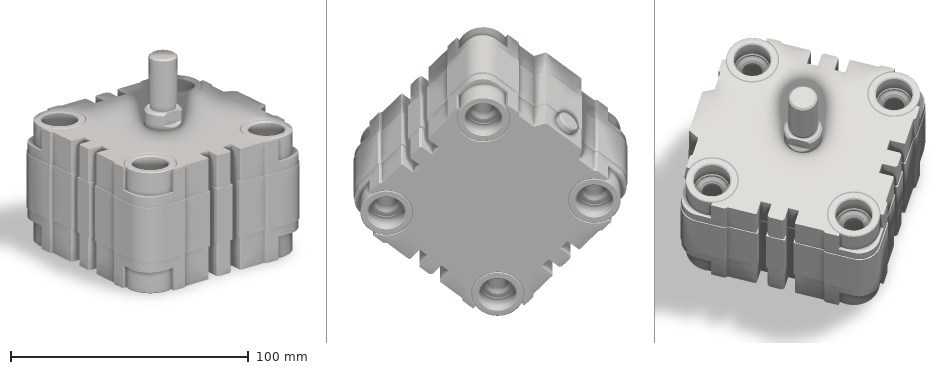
import cadquery as cq

HOUSING_HEIGHT = 55.0
CAP_HEIGHT = 15.0
BARREL_HEIGHT = HOUSING_HEIGHT - 2 * CAP_HEIGHT
BARREL_HALF_WIDTH = 43.5
CAP_INSET = 0.33
CORNER_RADIUS = 8.9
CUTTER_OVERRUN = 0.9

RELIEF_DEPTH = 0.9
RELIEF_HALF_WIDTH = 21.0
RELIEF_SLOPE_WIDTH = 1.0

RIDGE_RISE = 3.8
RIDGE_TOP_HALF_WIDTH = 10.0
RIDGE_FOOT_HALF_WIDTH = 12.6

SLOT_OFFSET = 6.0
CAP_SLOT_FLOOR = 35.6
BARREL_SLOT_FLOOR = 35.9
CAP_SLOT_WIDTH = 4.7
BARREL_SLOT_WIDTH = 4.5
SLOT_MOUTH_WIDTH = 3.7
SLOT_LIP_THICKNESS = 2.3
TONGUE_CHAMFER = 0.8
CAP_SLOT_EDGE_CHAMFER = 0.4
BARREL_SLOT_EDGE_CHAMFER = 0.3

HOLE_OFFSET = 31.0
BOSS_DIAMETER = 22.0
GROOVE_DEPTH = 0.33
POCKET_EDGE = 27.9
POCKET_DEPTH = 10.4
BORE_DIAMETER = 15.4
BORE_MOUTH_DIAMETER = 16.45
BORE_DEPTH = 7.5
SEAT_DIAMETER = 14.0
SEAT_DEPTH = 8.5
HOLE_DIAMETER = 8.4
HOLE_MOUTH_DIAMETER = 10.4

PLUG_DIAMETER = 9.8
PLUG_END_Y = 50.5
PLUG_HEIGHT = 8.0
PLUG_CHAMFER_LENGTH = 0.7
PLUG_CHAMFER_DEPTH = 0.4

TOTAL_HEIGHT = 86.5
COLLAR_DIAMETER = 16.0
COLLAR_TOP_DIAMETER = 14.0
COLLAR_HEIGHT = 7.6
NECK_DIAMETER = 10.8
NECK_HEIGHT = 2.1
THREAD_DIAMETER = 12.0
THREAD_END_DIAMETER = 10.4
FLAT_HALF_WIDTH = 6.5
FLAT_BOTTOM = 2.3
RUNOUT_BOTTOM = 1.0


def side_turns(angles, shape):
    """Copies of a shape made for the -Y side, turned to other sides."""
    copies = cq.Workplane("XY")
    for angle in angles:
        copies = copies.add(shape.rotate((0, 0, 0), (0, 0, 1), angle))
    return copies.combine()


def relief_cutter(half_width, height):
    floor = half_width - RELIEF_DEPTH
    slope = RELIEF_SLOPE_WIDTH / RELIEF_DEPTH
    outside = half_width + CUTTER_OVERRUN
    mouth = RELIEF_HALF_WIDTH + slope * (outside - floor)
    return (
        cq.Workplane("XY")
        .polyline([
            (-mouth, -outside),
            (-RELIEF_HALF_WIDTH, -floor),
            (RELIEF_HALF_WIDTH, -floor),
            (mouth, -outside),
        ])
        .close()
        .extrude(height)
    )


def port_ridge(half_width, height):
    foot = half_width - RELIEF_DEPTH
    top = half_width + RIDGE_RISE
    return (
        cq.Workplane("XY")
        .polyline([
            (-RIDGE_FOOT_HALF_WIDTH, foot),
            (-RIDGE_TOP_HALF_WIDTH, top),
            (RIDGE_TOP_HALF_WIDTH, top),
            (RIDGE_FOOT_HALF_WIDTH, foot),
            (RIDGE_FOOT_HALF_WIDTH, 0),
            (-RIDGE_FOOT_HALF_WIDTH, 0),
        ])
        .close()
        .extrude(height)
    )


def slot_pair(width, inner, outer, height):
    """Cutter for two parallel slots on the -Y side, between two distances from the axis."""
    return (
        cq.Workplane("XY")
        .pushPoints([(x, -(inner + outer) / 2) for x in (-SLOT_OFFSET, SLOT_OFFSET)])
        .rect(width, outer - inner)
        .extrude(height)
    )


def slot_edge_chamfers(width, face, tongue_chamfer, outer_chamfer, height):
    """Cutters for the four outer edges of a slot pair on the -Y side."""
    tongue_edge = SLOT_OFFSET - width / 2
    outer_edge = SLOT_OFFSET + width / 2
    cutters = cq.Workplane("XY")
    for side in (-1, 1):
        for edge, chamfer, direction in (
            (tongue_edge, tongue_chamfer, -1),
            (outer_edge, outer_chamfer, 1),
        ):
            corner = (
                cq.Workplane("XY")
                .polyline([
                    (side * edge, -face),
                    (side * (edge + direction * chamfer), -face),
                    (side * edge, -(face - chamfer)),
                ])
                .close()
                .extrude(height)
            )
            cutters = cutters.add(corner)
    return cutters.combine()


def relieved_block(half_width, height):
    block = (
        cq.Workplane("XY")
        .rect(2 * half_width, 2 * half_width)
        .extrude(height)
        .edges("|Z")
        .fillet(CORNER_RADIUS)
    )
    block = block.cut(side_turns((0, 90, 180, 270), relief_cutter(half_width, height)))
    return block.union(port_ridge(half_width, height))


def make_barrel():
    face = BARREL_HALF_WIDTH - RELIEF_DEPTH
    lip = face - SLOT_LIP_THICKNESS
    inner = slot_pair(BARREL_SLOT_WIDTH, BARREL_SLOT_FLOOR, lip, BARREL_HEIGHT)
    mouth = slot_pair(SLOT_MOUTH_WIDTH, BARREL_SLOT_FLOOR, face + CUTTER_OVERRUN, BARREL_HEIGHT)
    chamfer = BARREL_SLOT_EDGE_CHAMFER
    edges = slot_edge_chamfers(SLOT_MOUTH_WIDTH, face, chamfer, chamfer, BARREL_HEIGHT)
    slots = inner.union(mouth).union(edges)
    barrel = relieved_block(BARREL_HALF_WIDTH, BARREL_HEIGHT)
    return barrel.cut(side_turns((0, 90, 270), slots))


def corner_pocket():
    """Cutter that opens one cap corner around its boss and grooves the boss edge."""
    size = BARREL_HALF_WIDTH - POCKET_EDGE + CUTTER_OVERRUN
    middle = POCKET_EDGE + size / 2
    base = CAP_HEIGHT - POCKET_DEPTH
    radius = BOSS_DIAMETER / 2
    corner = (
        cq.Workplane("XY", origin=(middle, middle, base)).rect(size, size).extrude(POCKET_DEPTH)
    )
    boss = (
        cq.Workplane("XY", origin=(HOLE_OFFSET, HOLE_OFFSET, base))
        .circle(radius)
        .extrude(POCKET_DEPTH)
    )
    groove = (
        cq.Workplane("XZ")
        .polyline([
            (radius - GROOVE_DEPTH, CAP_HEIGHT),
            (radius, CAP_HEIGHT - GROOVE_DEPTH),
            (radius + GROOVE_DEPTH, CAP_HEIGHT),
        ])
        .close()
        .revolve(360, (0, 0), (0, 1))
        .translate((HOLE_OFFSET, HOLE_OFFSET, 0))
    )
    return corner.cut(boss).union(groove)


def mounting_bore():
    """Cutter for one stepped bore, from the boss end down to the barrel."""
    top = CAP_HEIGHT
    bore = BORE_DIAMETER / 2
    mouth = BORE_MOUTH_DIAMETER / 2
    seat = SEAT_DIAMETER / 2
    hole = HOLE_DIAMETER / 2
    hole_mouth = HOLE_MOUTH_DIAMETER / 2
    seat_level = top - SEAT_DEPTH
    return (
        cq.Workplane("XZ")
        .polyline([
            (0, 0),
            (hole, 0),
            (hole, seat_level - (hole_mouth - hole)),
            (hole_mouth, seat_level),
            (seat, seat_level),
            (seat, top - BORE_DEPTH),
            (bore, top - BORE_DEPTH),
            (bore, top - (mouth - bore)),
            (mouth, top),
            (0, top),
        ])
        .close()
        .revolve(360, (0, 0), (0, 1))
        .translate((HOLE_OFFSET, HOLE_OFFSET, 0))
    )


def make_cap():
    """End cap resting on Z = 0 with its outer end facing up."""
    half_width = BARREL_HALF_WIDTH - CAP_INSET
    face = half_width - RELIEF_DEPTH
    slots = slot_pair(CAP_SLOT_WIDTH, CAP_SLOT_FLOOR, face + CUTTER_OVERRUN, CAP_HEIGHT)
    edges = slot_edge_chamfers(
        CAP_SLOT_WIDTH, face, TONGUE_CHAMFER, CAP_SLOT_EDGE_CHAMFER, CAP_HEIGHT
    )
    slots = slots.union(edges)
    cap = relieved_block(half_width, CAP_HEIGHT)
    cap = cap.cut(side_turns((0, 90, 270), slots))
    cap = cap.cut(side_turns((0, 90, 180, 270), corner_pocket()))
    return cap.cut(side_turns((0, 90, 180, 270), mounting_bore()))


def make_plug():
    start = BARREL_HALF_WIDTH - CAP_INSET
    end = PLUG_END_Y - PLUG_CHAMFER_LENGTH
    radius = PLUG_DIAMETER / 2
    return (
        cq.Workplane("XY")
        .polyline([
            (0, start),
            (radius, start),
            (radius, end),
            (radius - PLUG_CHAMFER_DEPTH, PLUG_END_Y),
            (0, PLUG_END_Y),
        ])
        .close()
        .revolve(360, (0, 0), (0, 1))
        .translate((0, 0, PLUG_HEIGHT))
    )


def make_housing():
    cap = make_cap()
    top_cap = cap.translate((0, 0, HOUSING_HEIGHT - CAP_HEIGHT))
    bottom_cap = cap.mirror("XY").translate((0, 0, CAP_HEIGHT))
    through_holes = (
        cq.Workplane("XY")
        .rect(2 * HOLE_OFFSET, 2 * HOLE_OFFSET, forConstruction=True)
        .vertices()
        .circle(HOLE_DIAMETER / 2)
        .extrude(BARREL_HEIGHT)
    )
    barrel = make_barrel().cut(through_holes).translate((0, 0, CAP_HEIGHT))
    return barrel.union(top_cap).union(bottom_cap).union(make_plug())


def flat_cutter():
    """Cutter for the wrench flat on the +X side, with its sloping lower run-out."""
    radius = COLLAR_DIAMETER / 2
    return (
        cq.Workplane("XZ")
        .polyline([
            (FLAT_HALF_WIDTH, FLAT_BOTTOM),
            (radius, RUNOUT_BOTTOM),
            (radius, COLLAR_HEIGHT),
            (FLAT_HALF_WIDTH, COLLAR_HEIGHT),
        ])
        .close()
        .extrude(radius, both=True)
    )


def make_rod():
    """Stepped rod with its collar standing on the housing."""
    collar = COLLAR_DIAMETER / 2
    collar_top = COLLAR_TOP_DIAMETER / 2
    neck = NECK_DIAMETER / 2
    thread = THREAD_DIAMETER / 2
    thread_end = THREAD_END_DIAMETER / 2
    neck_top = COLLAR_HEIGHT + NECK_HEIGHT
    rod_top = TOTAL_HEIGHT - HOUSING_HEIGHT
    rod = (
        cq.Workplane("XZ")
        .polyline([
            (0, 0),
            (collar, 0),
            (collar, COLLAR_HEIGHT - (collar - collar_top)),
            (collar_top, COLLAR_HEIGHT),
            (neck, COLLAR_HEIGHT),
            (neck, neck_top),
            (thread, neck_top),
            (thread, rod_top - (thread - thread_end)),
            (thread_end, rod_top),
            (0, rod_top),
        ])
        .close()
        .revolve(360, (0, 0), (0, 1))
    )
    rod = rod.cut(side_turns((0, 180), flat_cutter()))
    return rod.translate((0, 0, HOUSING_HEIGHT))


housing = make_housing()
rod = make_rod()
result = cq.Compound.makeCompound([housing.val(), rod.val()])